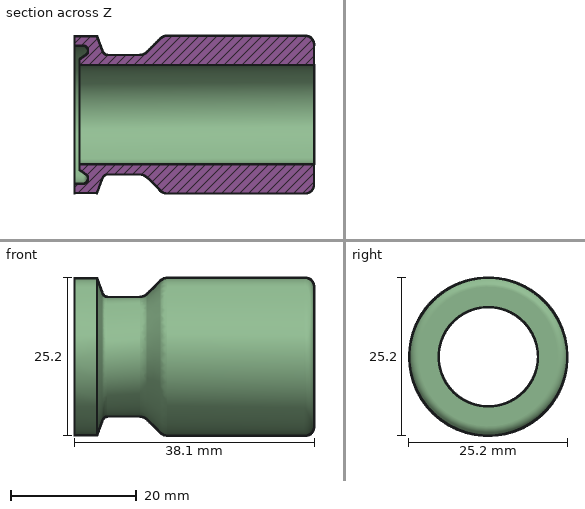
import cadquery as cq
import math

length = 38.1
body_radius = 25.15 / 2
flange_radius = 25.0 / 2
neck_radius = 19.05 / 2
bore_radius = 15.75 / 2

flange_rim_width = 3.62
flange_cone_angle = math.radians(20)
flange_neck_blend = 0.8

body_start = 14.15
shoulder_blend = 1.5
body_end_round = 1.5

groove_outer_radius = 21.9 / 2
groove_lip_radius = 17.6 / 2
groove_floor_edge_radius = 19.05 / 2
lip_recess = 0.8
groove_cone_angle = math.radians(35)


def on_circle(center, radius, angle):
    """Point (x, r) on a circle, with the angle measured from the X axis."""
    return (center[0] + radius * math.cos(angle), center[1] + radius * math.sin(angle))


def revolve_about_x(profile):
    return profile.close().revolve(360, (0, 0, 0), (1, 0, 0))


def edge_at(solid, x, radius):
    """Circular edge around the X axis at the given place."""
    tolerance = 0.005
    corner_low = (x - tolerance, -radius - tolerance, -radius - tolerance)
    corner_high = (x + tolerance, radius + tolerance, radius + tolerance)
    return solid.edges(cq.selectors.BoxSelector(corner_low, corner_high, boundingbox=True))


def make_outer_shape():
    neck_start = flange_rim_width + (flange_radius - neck_radius) * math.tan(flange_cone_angle)
    neck_end = body_start - (body_radius - neck_radius)
    outline = (
        cq.Workplane("XY")
        .moveTo(0, 0)
        .lineTo(0, flange_radius)
        .lineTo(flange_rim_width, flange_radius)
        .lineTo(neck_start, neck_radius)
        .lineTo(neck_end, neck_radius)
        .lineTo(body_start, body_radius)
        .lineTo(length, body_radius)
        .lineTo(length, 0)
    )
    shape = revolve_about_x(outline)
    shape = edge_at(shape, neck_start, neck_radius).fillet(flange_neck_blend)
    shape = edge_at(shape, neck_end, neck_radius).fillet(shoulder_blend)
    shape = edge_at(shape, body_start, body_radius).fillet(shoulder_blend)
    return edge_at(shape, length, body_radius).fillet(body_end_round)


def make_face_recess():
    """Cutter for the lip recess and the ring groove, whose wall, floor and cone are tangent."""
    floor_round = (groove_outer_radius - groove_floor_edge_radius) / (1 + math.cos(groove_cone_angle))
    cone_depth = (groove_floor_edge_radius - groove_lip_radius) / math.tan(groove_cone_angle)
    floor_center = (
        lip_recess + cone_depth - floor_round * math.sin(groove_cone_angle),
        groove_outer_radius - floor_round,
    )
    floor_inner_edge = on_circle(floor_center, floor_round, groove_cone_angle - math.pi / 2)
    outline = (
        cq.Workplane("XY")
        .moveTo(0, 0)
        .lineTo(lip_recess, 0)
        .lineTo(lip_recess, groove_lip_radius)
        .lineTo(*floor_inner_edge)
        .threePointArc(
            on_circle(floor_center, floor_round, 0),
            (floor_center[0], groove_outer_radius),
        )
        .lineTo(0, groove_outer_radius)
    )
    return revolve_about_x(outline)


bore = cq.Workplane("YZ").circle(bore_radius).extrude(length)

result = make_outer_shape().cut(make_face_recess()).cut(bore)